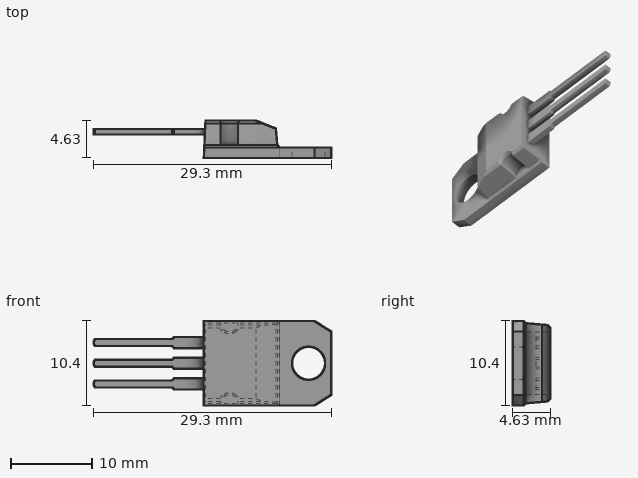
import cadquery as cq
import math


TOTAL_LENGTH = 29.3
WIDTH = 10.43
DEPTH = 4.63

PACKAGE_START = 13.55
PACKAGE_END_DRAFT = 2.6
BASE_END = 22.9
TAB_THICKNESS = 1.32
BASE_BEVEL = 0.25
BASE_THICKNESS = TAB_THICKNESS + BASE_BEVEL
TAB_CORNER_LENGTH = 2.1
TAB_CORNER_WIDTH = 1.32
HOLE_DIAMETER = 4.05
HOLE_X = 26.48

MOULDING_END = BASE_END - BASE_BEVEL
MOULDING_HALF_WIDTH = WIDTH / 2 - BASE_BEVEL
MOULDING_DRAFT = 5.0
TOP_CHAMFER = 0.35
SLOPE_START = 19.98
SLOPE_END_DEPTH = 3.63

NOTCH_X = 16.72
NOTCH_RADIUS = 1.08
NOTCH_FLARE = 0.23

LEAD_PITCH = 2.55
LEAD_COUNT = 3
LEAD_THICKNESS = 0.73
LEAD_BOTTOM = 2.87
LEAD_WIDTH = 0.88
LEAD_SHOULDER_WIDTH = 1.4
SHOULDER_TAPER_START = 9.67
SHOULDER_START = 9.93
LEAD_TIP_BULGE = 0.2


def lead_end_x(depth):
    """X of the leaning lead end face at the given Y."""
    return PACKAGE_START + depth * math.tan(math.radians(PACKAGE_END_DRAFT))


def draft_inset(depth):
    """How far a drafted moulding wall has moved inwards at the given Y."""
    return (depth - BASE_THICKNESS) * math.tan(math.radians(MOULDING_DRAFT))


def extrude_across(points):
    """Extrude an XY outline over the full width, centred on Z = 0."""
    return cq.Workplane("XY").polyline(points).close().extrude(WIDTH / 2, both=True)


def extrude_along(half_outline):
    """Extrude a (Y, Z) half outline, mirrored about Z = 0, along the full length in X."""
    mirrored = [(y, -z) for y, z in reversed(half_outline)]
    return cq.Workplane("YZ").polyline(half_outline + mirrored).close().extrude(TOTAL_LENGTH)


def make_base():
    """Slab under the moulding, bevelled along its sides and tab end."""
    side_profile = extrude_across(
        [
            (lead_end_x(0), 0),
            (BASE_END, 0),
            (BASE_END, TAB_THICKNESS),
            (MOULDING_END, BASE_THICKNESS),
            (lead_end_x(BASE_THICKNESS), BASE_THICKNESS),
        ]
    )
    end_profile = extrude_along(
        [
            (0, WIDTH / 2),
            (TAB_THICKNESS, WIDTH / 2),
            (BASE_THICKNESS, MOULDING_HALF_WIDTH),
        ]
    )
    return side_profile.intersect(end_profile)


def make_tab():
    """Flat mounting tab with two cut corners and a through hole."""
    half_width = WIDTH / 2
    corner_x = TOTAL_LENGTH - TAB_CORNER_LENGTH
    end_half_width = half_width - TAB_CORNER_WIDTH
    plate = (
        cq.Workplane("XZ")
        .moveTo(BASE_END, -half_width)
        .lineTo(corner_x, -half_width)
        .lineTo(TOTAL_LENGTH, -end_half_width)
        .lineTo(TOTAL_LENGTH, end_half_width)
        .lineTo(corner_x, half_width)
        .lineTo(BASE_END, half_width)
        .close()
        .extrude(-TAB_THICKNESS)
    )
    hole = cq.Workplane("XZ").center(HOLE_X, 0).circle(HOLE_DIAMETER / 2).extrude(-TAB_THICKNESS)
    return plate.cut(hole)


def make_notch_cutter(side):
    """Round notch along Y on one side (+1 or -1), flared next to the top chamfer."""
    chamfer_start = DEPTH - TOP_CHAMFER
    cutter = (
        cq.Workplane("XY")
        .moveTo(0, BASE_THICKNESS)
        .lineTo(NOTCH_RADIUS, BASE_THICKNESS)
        .lineTo(NOTCH_RADIUS, chamfer_start)
        .lineTo(NOTCH_RADIUS + NOTCH_FLARE, DEPTH)
        .lineTo(0, DEPTH)
        .close()
        .revolve(360, (0, 0, 0), (0, 1, 0))
    )
    return cutter.translate((NOTCH_X, 0, side * MOULDING_HALF_WIDTH))


def make_moulding():
    """Drafted block with a sloped top end, chamfered long edges and two notches."""
    side_profile = extrude_across(
        [
            (lead_end_x(BASE_THICKNESS), BASE_THICKNESS),
            (MOULDING_END, BASE_THICKNESS),
            (MOULDING_END - draft_inset(SLOPE_END_DEPTH), SLOPE_END_DEPTH),
            (SLOPE_START, DEPTH),
            (lead_end_x(DEPTH), DEPTH),
        ]
    )
    chamfer_start = DEPTH - TOP_CHAMFER
    chamfer_half_width = MOULDING_HALF_WIDTH - draft_inset(chamfer_start)
    end_profile = extrude_along(
        [
            (BASE_THICKNESS, MOULDING_HALF_WIDTH),
            (chamfer_start, chamfer_half_width),
            (DEPTH, chamfer_half_width - TOP_CHAMFER),
        ]
    )
    moulding = side_profile.intersect(end_profile)
    for side in (-1, 1):
        moulding = moulding.cut(make_notch_cutter(side))
    return moulding


def make_package():
    """Base, tab and moulding as one solid; the seams between flush faces are kept."""
    slab = make_base().union(make_tab(), clean=False)
    return slab.union(make_moulding(), clean=False).solids()


def make_lead(z, package):
    """Flat lead with a rounded tip and a wider shoulder, ending on the package face."""
    half_width = LEAD_WIDTH / 2
    half_shoulder = LEAD_SHOULDER_WIDTH / 2
    root_x = lead_end_x(LEAD_BOTTOM + LEAD_THICKNESS)
    blank = (
        cq.Workplane("XZ", origin=(0, LEAD_BOTTOM, z))
        .moveTo(LEAD_TIP_BULGE, half_width)
        .lineTo(SHOULDER_TAPER_START, half_width)
        .lineTo(SHOULDER_START, half_shoulder)
        .lineTo(root_x, half_shoulder)
        .lineTo(root_x, -half_shoulder)
        .lineTo(SHOULDER_START, -half_shoulder)
        .lineTo(SHOULDER_TAPER_START, -half_width)
        .lineTo(LEAD_TIP_BULGE, -half_width)
        .threePointArc((0, 0), (LEAD_TIP_BULGE, half_width))
        .close()
        .extrude(-LEAD_THICKNESS)
    )
    return blank.cut(package).solids()


package = make_package()

leads = []
for index in range(LEAD_COUNT):
    lead_z = (index - (LEAD_COUNT - 1) / 2) * LEAD_PITCH
    leads.append(make_lead(lead_z, package).val())

result = cq.Compound.makeCompound([package.val(), *leads])